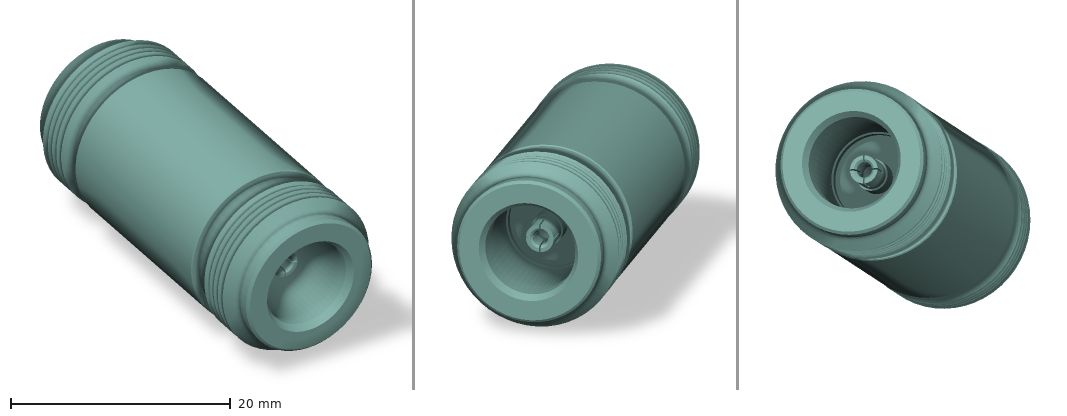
import cadquery as cq
import math

length = 36.1
half_length = length / 2
body_radius = 7.8
body_half_length = 10.07
body_edge_chamfer = 0.1
groove_radius = 7.05

nose_radius = 6.75
nose_chamfer = 0.25
nose_length = 1.45
crest_diameter = 15.7
crest_radius = crest_diameter / 2
root_radius = 7.35
thread_depth = crest_radius - root_radius
first_crest = nose_length + crest_radius - nose_radius
middle_crest_count = 3
middle_pitch = 0.72
middle_flank = middle_pitch / 2
end_flank = thread_depth

bore_radius = 4.22
bore_mouth_radius = 4.65
bore_mouth_depth = 0.72
ledge_radius = 4.05
ledge_depth = 8.65
bore_depth = 9.4
insulator_radius = 3.5
insulator_height = 0.35

contact_radius = 1.3
contact_tip_depth = 4.35
shoulder_radius = 1.48
shoulder_depth = 7.22
contact_hole_radius = 0.72
contact_mouth_radius = 0.95
contact_hole_depth = 2.53
drill_tip_angle = 90.0
slot_width = 0.15
slot_depth = 1.8


def end_outline():
    """Radius against X, from the +X end face inward to the groove behind the thread."""
    depth_radius = [
        (0, nose_radius - nose_chamfer),
        (nose_chamfer, nose_radius),
        (nose_length, nose_radius),
        (first_crest, crest_radius),
    ]
    depth = first_crest + end_flank
    depth_radius.append((depth, root_radius))
    for _ in range(middle_crest_count):
        depth_radius.append((depth + middle_flank, crest_radius))
        depth += middle_pitch
        depth_radius.append((depth, root_radius))
    last_crest = depth + end_flank
    thread_end = last_crest + crest_radius - groove_radius
    depth_radius += [(last_crest, crest_radius), (thread_end, groove_radius)]
    return [(half_length - d, r) for d, r in depth_radius]


def revolve_about_x(points):
    """Solid of revolution from closed (x, radius) points."""
    return cq.Workplane("XY").polyline(points).close().revolve(360, (0, 0, 0), (1, 0, 0))


def shell():
    """Outside shape of the whole part, solid throughout."""
    right_side = [(half_length, 0)] + end_outline() + [
        (body_half_length, groove_radius),
        (body_half_length, body_radius - body_edge_chamfer),
        (body_half_length - body_edge_chamfer, body_radius),
    ]
    left_side = [(-x, r) for x, r in reversed(right_side)]
    return revolve_about_x(right_side + left_side)


def socket():
    """Space inside the +X end, leaving the insulator and the contact standing."""
    floor = half_length - bore_depth
    insulator_face = floor + insulator_height
    shoulder = half_length - shoulder_depth
    tip = half_length - contact_tip_depth
    countersink = contact_mouth_radius - contact_hole_radius
    hole_floor = tip - contact_hole_depth
    drill_tip = hole_floor - contact_hole_radius / math.tan(math.radians(drill_tip_angle / 2))
    return revolve_about_x([
        (half_length, 0),
        (half_length, bore_mouth_radius),
        (half_length - bore_mouth_depth, bore_radius),
        (half_length - ledge_depth, bore_radius),
        (half_length - ledge_depth, ledge_radius),
        (floor, ledge_radius),
        (floor, insulator_radius),
        (insulator_face, insulator_radius),
        (insulator_face, shoulder_radius),
        (shoulder, shoulder_radius),
        (shoulder, contact_radius),
        (tip, contact_radius),
        (tip, contact_mouth_radius),
        (tip - countersink, contact_hole_radius),
        (hole_floor, contact_hole_radius),
        (drill_tip, 0),
    ])


def contact_slots():
    """Two crossed cuts that split the contact tip into four fingers."""
    slot_center = half_length - contact_tip_depth - slot_depth / 2
    slot = cq.Workplane("XY").box(slot_depth, 2 * contact_radius, slot_width)
    slot = slot.translate((slot_center, 0, 0))
    return slot.union(slot.rotate((0, 0, 0), (1, 0, 0), 90))


end_cavity = socket().union(contact_slots())
result = shell().cut(end_cavity).cut(end_cavity.mirror("YZ"))